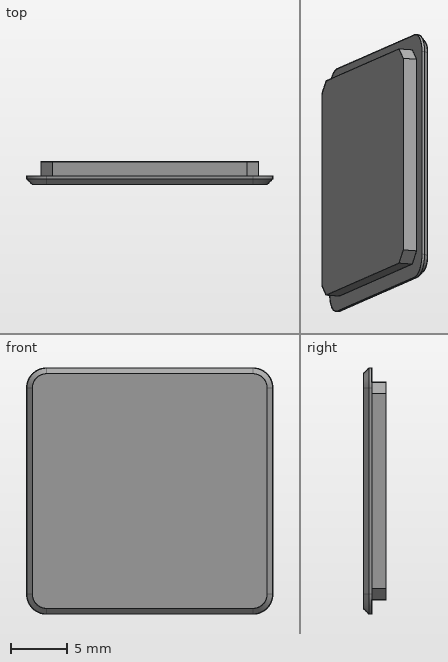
import cadquery as cq

PLATE_SIZE = 21.84
PLATE_THICKNESS = 0.76
PLATE_CORNER_RADIUS = 1.78
BEVEL = 0.51

PLUG_SIZE = 19.3
PLUG_CORNER_CUT = 1.02
TOTAL_DEPTH = 2.03
PLUG_DEPTH = TOTAL_DEPTH - PLATE_THICKNESS

FRONT_Y = -TOTAL_DEPTH / 2
PLATE_BACK_Y = FRONT_Y + PLATE_THICKNESS


def square_block(size, front_y, depth):
    """Square block centred on the Y axis, running from front_y toward +Y."""
    return cq.Workplane("XY").box(size, depth, size).translate((0, front_y + depth / 2, 0))


def flange_plate():
    """Square plate with rounded corners and a front rim bevelled at 45 degrees."""
    plate = square_block(PLATE_SIZE, FRONT_Y, PLATE_THICKNESS)
    plate = plate.edges("|Y").fillet(PLATE_CORNER_RADIUS)
    return plate.faces("<Y").chamfer(BEVEL)


def back_plug():
    """Smaller square block with its four corners cut at 45 degrees."""
    plug = square_block(PLUG_SIZE, PLATE_BACK_Y, PLUG_DEPTH)
    return plug.edges("|Y").chamfer(PLUG_CORNER_CUT)


result = flange_plate().union(back_plug())